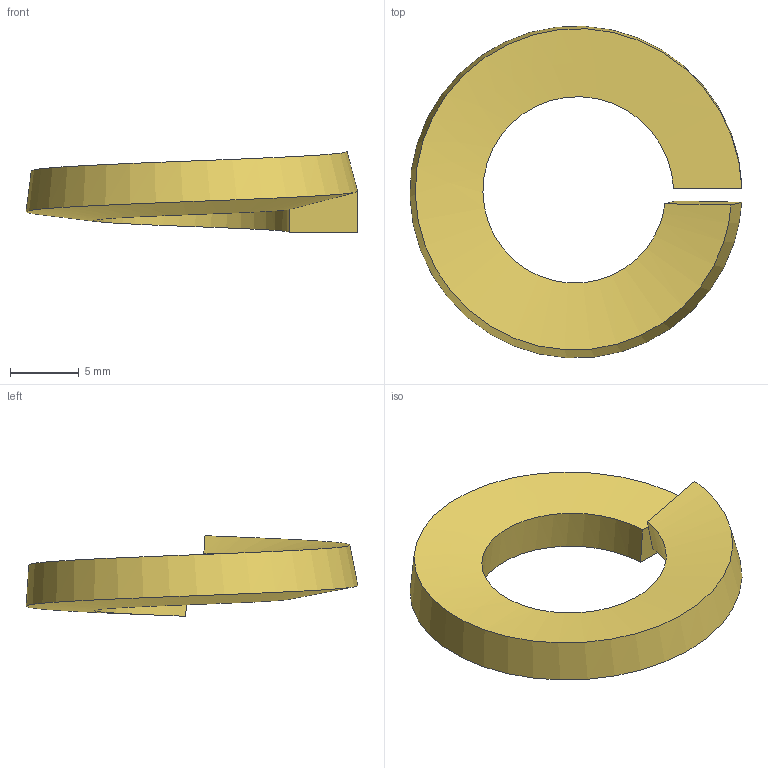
import cadquery as cq

outer_diameter = 24.1
inner_diameter = 14.2
thickness = 3.0
gap_width = 1.0
gap_tilt = 4.0
gap_offset = -0.035
gap_clearance = 1.0

outer_radius = outer_diameter / 2
inner_radius = inner_diameter / 2
pitch = thickness
coil_height = pitch + thickness


def coil():
    """Full turn of a rectangular section that rolls slowly as it follows the outer lower edge."""
    helix = cq.Wire.makeHelix(pitch, pitch, outer_radius)
    section = (
        cq.Workplane("XZ")
        .moveTo(inner_radius, 0)
        .lineTo(outer_radius, 0)
        .lineTo(outer_radius, thickness)
        .lineTo(inner_radius, thickness)
        .close()
    )
    return section.sweep(cq.Workplane(helix), isFrenet=False)


def gap_cutter():
    """Flat leaning slab, centred on Z = 0, that parts the two ends of the coil on the +X side."""
    length = outer_radius + gap_clearance
    height = 2 * (coil_height + gap_clearance)
    slab = cq.Workplane("XY").box(length, gap_width, height, centered=(False, True, True))
    return slab.rotate((0, 0, 0), (1, 0, 0), gap_tilt).translate((0, gap_offset, 0))


result = coil().cut(gap_cutter()).solids()